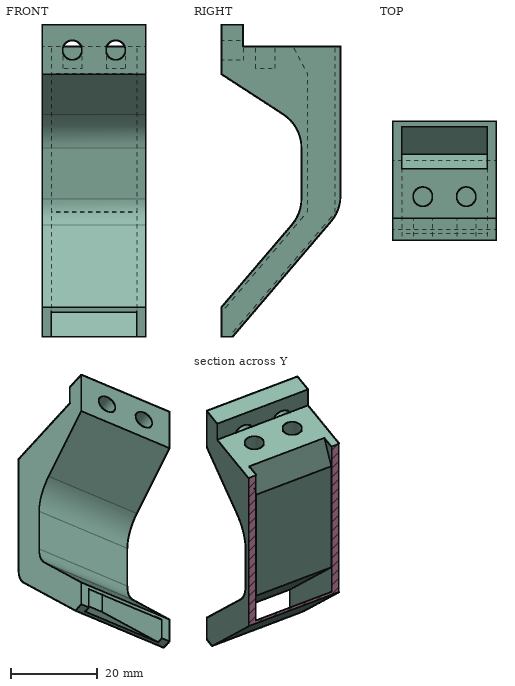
import cadquery as cq
import math

width = 24.0
depth = 27.5
height = 72.0

flange_thickness = 5.05
flange_rise = 5.05
flange_height = 11.45
neck_depth = 9.1
bend_radius = 9.15
overhang_angle = math.radians(33)
leg_angle = math.radians(49.5)
foot_height = 6.85
foot_depth = 2.6

side_wall = 2.1
neck_wall = 1.4
opening_length = 9.65
ramp_angle = math.radians(62)
leg_wall = 0.7

hole_diameter = 4.5
hole_spacing = 10.0
front_hole_drop = 5.9
top_hole_setback = 10.1
top_hole_depth = 5.05

top_z = height - flange_rise
neck_y = depth - neck_depth
overhang_z = height - flange_height
upper_bend_z = overhang_z - neck_y * math.tan(overhang_angle)
lower_bend_z = foot_height + neck_y * math.tan(leg_angle)
back_bend_z = (depth - foot_depth) * math.tan(leg_angle)


def extrude_profile(points, thickness):
    """Extrude a closed (Y, Z) outline symmetrically about X = 0."""
    return cq.Workplane("YZ").polyline(points).close().extrude(thickness / 2, both=True)


def round_bend(body, y, z):
    """Round the edge along X that passes through (y, z)."""
    return body.edges(cq.selectors.NearestToPointSelector((0, y, z))).fillet(bend_radius)


def make_body():
    body = extrude_profile(
        [
            (0, height),
            (flange_thickness, height),
            (flange_thickness, top_z),
            (depth, top_z),
            (depth, back_bend_z),
            (foot_depth, 0),
            (0, 0),
            (0, foot_height),
            (neck_y, lower_bend_z),
            (neck_y, upper_bend_z),
            (0, overhang_z),
        ],
        width,
    )
    for y, z in [(neck_y, upper_bend_z), (neck_y, lower_bend_z), (depth, back_bend_z)]:
        body = round_bend(body, y, z)
    return body


def make_duct():
    """Passage from the top opening, down the neck and out at the foot."""
    front_y = neck_y + neck_wall
    back_y = depth - neck_wall
    leg_slope = math.tan(leg_angle)

    leg_wall_rise = leg_wall / math.cos(leg_angle)

    opening_y = back_y - opening_length
    ramp_bottom_z = top_z - (front_y - opening_y) * math.tan(ramp_angle)
    lip_z = foot_height - leg_wall_rise
    front_bend_z = lip_z + front_y * leg_slope
    rear_bend_z = back_bend_z - neck_wall * leg_slope + leg_wall_rise
    floor_end_y = back_y - rear_bend_z / leg_slope
    return extrude_profile(
        [
            (opening_y, top_z),
            (back_y, top_z),
            (back_y, rear_bend_z),
            (floor_end_y, 0),
            (0, 0),
            (0, lip_z),
            (front_y, front_bend_z),
            (front_y, ramp_bottom_z),
        ],
        width - 2 * side_wall,
    )


def drill_holes(body):
    for x in (-hole_spacing / 2, hole_spacing / 2):
        front_hole = cq.Solid.makeCylinder(
            hole_diameter / 2,
            flange_thickness,
            cq.Vector(x, 0, height - front_hole_drop),
            cq.Vector(0, 1, 0),
        )
        top_hole = cq.Solid.makeCylinder(
            hole_diameter / 2,
            top_hole_depth,
            cq.Vector(x, top_hole_setback, top_z),
            cq.Vector(0, 0, -1),
        )
        body = body.cut(front_hole).cut(top_hole)
    return body


result = drill_holes(make_body().cut(make_duct()))